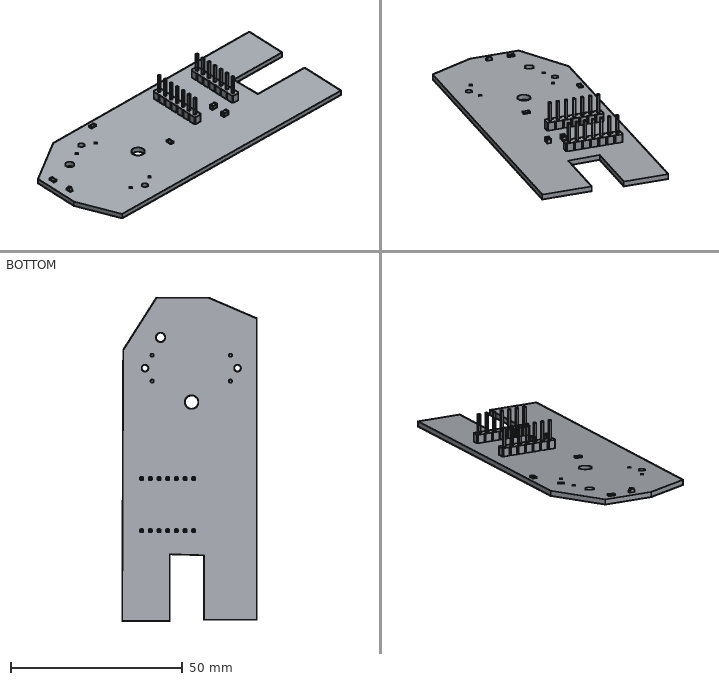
import cadquery as cq

BOARD_THICKNESS = 1.6
BOARD_WIDTH = 39.4
BOARD_LENGTH = 94.5
RIGHT_TONGUE_END = 94.1
LEFT_EDGE_LEAN = 0.3
LEFT_CORNER_Y = 15.3
RIGHT_CORNER_Y = 6.05
NOSE_LEFT_X = 10.0
NOSE_RIGHT_X = 25.3
NOTCH_LEFT_X = 14.0
NOTCH_RIGHT_X = 23.9
NOTCH_LEFT_Y = 75.0
NOTCH_RIGHT_Y = 75.3

SHAFT_HOLE_DIAMETER = 3.9
SHAFT_HOLE_CENTER = (20.3, 30.5)
MOUNT_HOLE_DIAMETER = 2.6
MOUNT_HOLE_CENTER = (11.2, 11.6)
HOLE_GROUP_CENTER = (20.2, 20.6)
PEG_HOLE_DIAMETER = 1.9
PEG_HOLE_SPACING = 27.0
LEAD_HOLE_DIAMETER = 0.85
LEAD_HOLE_SPACING_X = 22.9
LEAD_HOLE_SPACING_Y = 7.6

PIN_COUNT = 7
PIN_ROW_LENGTH = 15.2
PIN_PITCH = PIN_ROW_LENGTH / (PIN_COUNT - 1)
PIN_WIDTH = 0.7
PIN_TIP_CHAMFER = 0.2
PIN_TOP_Z = 8.5
PIN_BOTTOM_Z = -3.0
PIN_HOLE_DIAMETER = 1.0
HOUSING_HEIGHT = 2.55
HOUSING_CHAMFER = 0.3
HEADER_CENTER_X = 13.3
HEADER_CENTER_Y = 60.5
HEADER_SPACING = 15.2
HEADER_CENTERS = [(HEADER_CENTER_X, HEADER_CENTER_Y + side * HEADER_SPACING / 2) for side in (-1, 1)]

CHIP_LENGTH = 2.0
CHIP_WIDTH = 1.2
CHIP_BODY_INSET = 0.05
CAPACITOR_HEIGHT = 1.2
CAPACITOR_CAP_LENGTH = 0.4
CAPACITOR_CENTERS = [(19.9, 61.2), (24.8, 61.2)]
RESISTOR_HEIGHT = 0.4
RESISTOR_CAP_LENGTH = 0.3
RESISTOR_PLACES = [
    (23.4, 40.4, 0),
    (2.3, 29.3, 90),
    (13.5, 2.7, 0),
]

LED_CENTER = (20.4, 2.8)
LED_LENGTH = 1.7
LED_WIDTH = 0.85
LED_BASE_HEIGHT = 0.3
LED_HEIGHT = 1.1
LED_LENS_TOP_LENGTH = 0.8


def pin_positions(center):
    """Centres of the pins in one header row along X."""
    first_x = center[0] - PIN_ROW_LENGTH / 2
    return [(first_x + index * PIN_PITCH, center[1]) for index in range(PIN_COUNT)]


def drill(board, centers, diameter):
    """Cut round through holes at the given centres."""
    return board.faces(">Z").workplane(origin=(0, 0, 0)).pushPoints(centers).hole(diameter)


def make_board():
    """Plate with a notched far end, a tapered near end and all its holes."""
    outline = [
        (NOSE_LEFT_X, 0),
        (NOSE_RIGHT_X, 0),
        (BOARD_WIDTH, RIGHT_CORNER_Y),
        (BOARD_WIDTH, RIGHT_TONGUE_END),
        (NOTCH_RIGHT_X, RIGHT_TONGUE_END),
        (NOTCH_RIGHT_X, NOTCH_RIGHT_Y),
        (NOTCH_LEFT_X, NOTCH_LEFT_Y),
        (NOTCH_LEFT_X, BOARD_LENGTH),
        (0, BOARD_LENGTH),
        (LEFT_EDGE_LEAN, LEFT_CORNER_Y),
    ]
    board = cq.Workplane("XY").polyline(outline).close().extrude(-BOARD_THICKNESS)
    board = drill(board, [SHAFT_HOLE_CENTER], SHAFT_HOLE_DIAMETER)
    board = drill(board, [MOUNT_HOLE_CENTER], MOUNT_HOLE_DIAMETER)

    group_x, group_y = HOLE_GROUP_CENTER
    pegs = [(group_x + side * PEG_HOLE_SPACING / 2, group_y) for side in (-1, 1)]
    leads = [
        (group_x + side * LEAD_HOLE_SPACING_X / 2, group_y + end * LEAD_HOLE_SPACING_Y / 2)
        for side in (-1, 1)
        for end in (-1, 1)
    ]
    board = drill(board, pegs, PEG_HOLE_DIAMETER)
    board = drill(board, leads, LEAD_HOLE_DIAMETER)
    for center in HEADER_CENTERS:
        board = drill(board, pin_positions(center), PIN_HOLE_DIAMETER)
    return board


def make_header(center):
    """One row of square pins held in a housing of corner-chamfered blocks."""
    block = (
        cq.Workplane("XY")
        .box(PIN_PITCH, PIN_PITCH, HOUSING_HEIGHT, centered=(True, True, False))
        .edges("|Z")
        .chamfer(HOUSING_CHAMFER)
    )
    pin = (
        cq.Workplane("XY")
        .workplane(offset=PIN_BOTTOM_Z)
        .rect(PIN_WIDTH, PIN_WIDTH)
        .extrude(PIN_TOP_Z - PIN_BOTTOM_Z)
        .faces("<Z or >Z")
        .chamfer(PIN_TIP_CHAMFER)
    )
    segment = block.union(pin)
    header = cq.Workplane("XY")
    for x, y in pin_positions(center):
        header = header.union(segment.translate((x, y, 0)))
    return header


def make_chip(height, cap_length):
    """Chip lying along X, centred on the origin and resting on Z = 0."""
    body_width = CHIP_WIDTH - 2 * CHIP_BODY_INSET
    body_height = height - CHIP_BODY_INSET
    cap_spacing = CHIP_LENGTH - cap_length
    chip = cq.Workplane("XY").box(cap_spacing, body_width, body_height, centered=(True, True, False))
    for side in (-1, 1):
        cap = cq.Workplane("XY").box(cap_length, CHIP_WIDTH, height, centered=(True, True, False))
        chip = chip.union(cap.translate((side * cap_spacing / 2, 0, 0)))
    return chip


def make_capacitor(center):
    """Tall chip lying along Y."""
    capacitor = make_chip(CAPACITOR_HEIGHT, CAPACITOR_CAP_LENGTH)
    return capacitor.rotate((0, 0, 0), (0, 0, 1), 90).translate((*center, 0))


def make_resistor(x, y, turn):
    """Flat chip turned about Z."""
    resistor = make_chip(RESISTOR_HEIGHT, RESISTOR_CAP_LENGTH)
    return resistor.rotate((0, 0, 0), (0, 0, 1), turn).translate((x, y, 0))


def make_led():
    """Base and trapezoidal lens extruded from one profile in XZ."""
    profile = [
        (-LED_LENGTH / 2, 0),
        (LED_LENGTH / 2, 0),
        (LED_LENGTH / 2, LED_BASE_HEIGHT),
        (LED_LENS_TOP_LENGTH / 2, LED_HEIGHT),
        (-LED_LENS_TOP_LENGTH / 2, LED_HEIGHT),
        (-LED_LENGTH / 2, LED_BASE_HEIGHT),
    ]
    led = cq.Workplane("XZ").polyline(profile).close().extrude(LED_WIDTH / 2, both=True)
    return led.translate((*LED_CENTER, 0))


board = make_board()
headers = [make_header(center) for center in HEADER_CENTERS]
capacitors = [make_capacitor(center) for center in CAPACITOR_CENTERS]
resistors = [make_resistor(x, y, turn) for x, y, turn in RESISTOR_PLACES]
led = make_led()

bodies = [board, *headers, *capacitors, *resistors, led]
result = cq.Compound.makeCompound([body.val() for body in bodies])